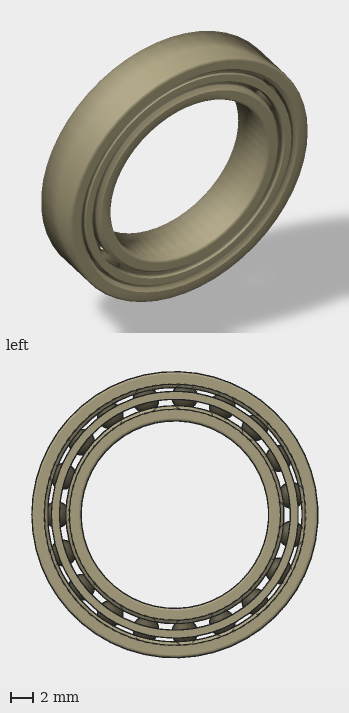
import cadquery as cq

outer_radius = 13.0
bore_radius = 8.5
ring_width = 5.0

outer_shoulder_radius = 11.55
inner_shoulder_radius = 9.9
rim_fillet = 0.25
shoulder_chamfer = 0.3

ball_count = 19
ball_radius = 1.17
pitch_radius = (outer_shoulder_radius + inner_shoulder_radius) / 2
cage_inner_radius = 10.48
cage_outer_radius = 11.2
cage_width = 4.68

smallest_circles = cq.selectors.RadiusNthSelector(0)
largest_circles = cq.selectors.RadiusNthSelector(-1)


def tube(outer, inner, length):
    """Plain tube along the X axis, centred on the origin."""
    end_plane = cq.Workplane("YZ").workplane(offset=-length / 2)
    return end_plane.circle(outer).circle(inner).extrude(length)


def raceway():
    """Torus swept by a ball running once round the pitch circle."""
    return cq.Workplane(cq.Solid.makeTorus(pitch_radius, ball_radius, dir=cq.Vector(1, 0, 0)))


def make_outer_ring():
    """Outer ring: rounded outside rims, chamfered bore and a raceway in the bore."""
    ring = tube(outer_radius, outer_shoulder_radius, ring_width)
    ring = ring.edges(smallest_circles).chamfer(shoulder_chamfer)
    ring = ring.edges(largest_circles).fillet(rim_fillet)
    return ring.cut(raceway())


def make_inner_ring():
    """Inner ring: rounded bore rims, chamfered outside and a raceway in the outside."""
    ring = tube(inner_shoulder_radius, bore_radius, ring_width)
    ring = ring.edges(largest_circles).chamfer(shoulder_chamfer)
    ring = ring.edges(smallest_circles).fillet(rim_fillet)
    return ring.cut(raceway())


def make_caged_balls():
    """Cage band with evenly spaced balls fixed in it, the first ball lying on +Y."""
    caged_balls = tube(cage_outer_radius, cage_inner_radius, cage_width)
    for index in range(ball_count):
        angle = index * 360 / ball_count
        ball = cq.Workplane("XY").sphere(ball_radius).translate((0, pitch_radius, 0))
        caged_balls = caged_balls.union(ball.rotate((0, 0, 0), (1, 0, 0), angle))
    return caged_balls


outer_ring = make_outer_ring()
inner_ring = make_inner_ring()
caged_balls = make_caged_balls()

result = cq.Compound.makeCompound([outer_ring.val(), inner_ring.val(), caged_balls.val()])